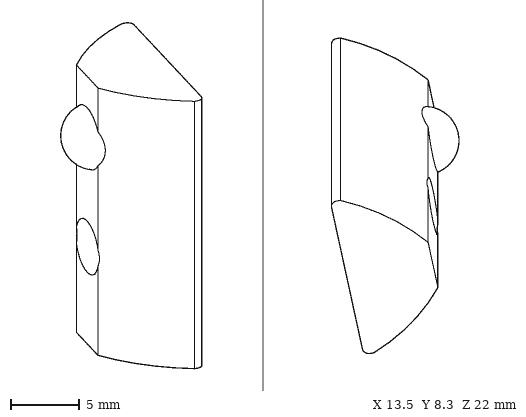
import cadquery as cq
import math

length = 22.0
width = 13.47
depth = 6.4
nose_width = 4.0
side_land_end = 0.75
back_edge_radius = 0.5
flank_radius = 15.0

hole_diameter = 4.2
hole_height = 8.0

ball_radius = 2.5
ball_protrusion = 1.9
ball_from_top = 5.0
ball_center = (0, -depth - ball_protrusion + ball_radius, length - ball_from_top)


def flank_midpoint():
    """Middle of the outward-bulging arc on the +X flank."""
    start_x, start_y = width / 2, -side_land_end
    end_x, end_y = nose_width / 2, -depth
    run_x, run_y = end_x - start_x, end_y - start_y
    chord = math.hypot(run_x, run_y)
    bulge = flank_radius - math.sqrt(flank_radius**2 - (chord / 2) ** 2)
    mid_x = (start_x + end_x) / 2 - run_y / chord * bulge
    mid_y = (start_y + end_y) / 2 + run_x / chord * bulge
    return mid_x, mid_y


def make_ball():
    return cq.Workplane("XY").sphere(ball_radius).translate(ball_center)


def make_nut():
    mid_x, mid_y = flank_midpoint()
    blank = (
        cq.Workplane("XY")
        .moveTo(-width / 2, 0)
        .lineTo(width / 2, 0)
        .lineTo(width / 2, -side_land_end)
        .threePointArc((mid_x, mid_y), (nose_width / 2, -depth))
        .lineTo(-nose_width / 2, -depth)
        .threePointArc((-mid_x, mid_y), (-width / 2, -side_land_end))
        .close()
        .extrude(length)
    )
    blank = blank.faces(">Y").edges("|Z").fillet(back_edge_radius)

    hole = (
        cq.Workplane("XZ")
        .center(0, hole_height)
        .circle(hole_diameter / 2)
        .extrude(depth)
    )
    return blank.cut(hole).cut(make_ball()).solids()


nut = make_nut()
ball = make_ball()

result = cq.Compound.makeCompound([nut.val(), ball.val()])